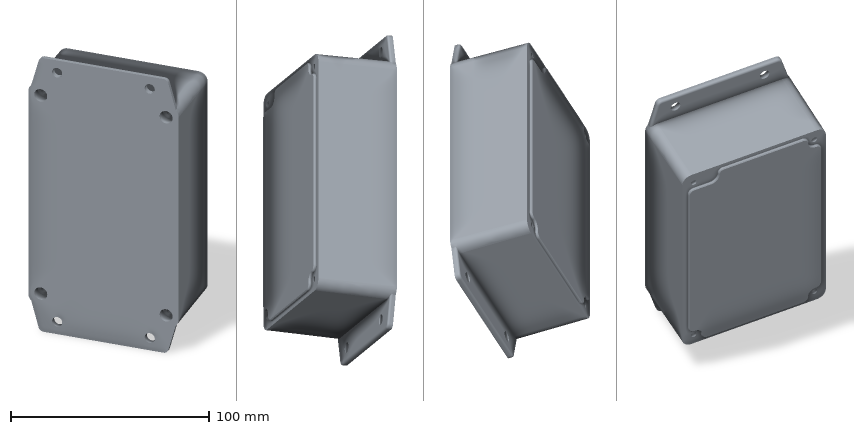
import cadquery as cq
import math

total_width = 81.3
total_depth = 43.5
total_length = 155.4
mounting_face_y = -total_depth / 2

body_length = 125.7
body_corner_radius = 5.5
draft_angle = 0.5

panel_width = 74.6
panel_length = 120.3
panel_height = 1.4
panel_edge_chamfer = 0.5
body_depth = total_depth - panel_height
body_back_y = mounting_face_y + body_depth

flange_thickness = 3.0
flange_end_width = 69.0
flange_end_radius = 2.8
flange_edge_fillet = 1.1

mount_hole_diameter = 5.5
mount_hole_x = 25.0
mount_hole_z = 70.7

screw_hole_diameter = 3.1
screw_head_diameter = 7.0
screw_head_depth = 5.0
screw_x = 33.9
screw_z = 56.2

notch_radius = 3.7
notch_edge_radius = 3.3
wide_notch_radius = 4.7
wide_notch_edge_radius = 2.8
wide_notch_wall_x = 20.5


def face_plane(y):
    """Sketch plane at the given Y, facing -Y, with sketch x along X and sketch y along Z."""
    return cq.Workplane("XZ", origin=(0, y, 0))


def four_corners(x, z):
    return [(side * x, end * z) for side in (-1, 1) for end in (-1, 1)]


def make_body():
    growth_plane = cq.Plane(origin=(0, mounting_face_y, 0), xDir=(1, 0, 0), normal=(0, 1, 0))
    outline = cq.Sketch().rect(total_width, body_length).vertices().fillet(body_corner_radius)
    return cq.Workplane(growth_plane).placeSketch(outline).extrude(body_depth, taper=draft_angle)


def make_flange():
    end_x = flange_end_width / 2
    end_z = total_length / 2
    arc_inset = body_corner_radius * (1 - math.sqrt(0.5))
    base_x = total_width / 2 - arc_inset
    base_z = body_length / 2 - arc_inset
    outline = [
        (end_x, end_z), (base_x, base_z), (base_x, -base_z), (end_x, -end_z),
        (-end_x, -end_z), (-base_x, -base_z), (-base_x, base_z), (-end_x, end_z),
    ]
    flange = face_plane(mounting_face_y).polyline(outline).close().extrude(-flange_thickness)
    for end in (">Z", "<Z"):
        flange = flange.faces(end).edges("|Y").fillet(flange_end_radius)
    return flange.faces(">Y").edges().fillet(flange_edge_fillet)


def make_notch_cutter(side, end, wall_x, wall_radius, edge_radius):
    """Corner cutter with its floor on the inner side of the screw hole and its wall at wall_x."""
    panel_x = panel_width / 2
    panel_z = panel_length / 2
    floor_z = screw_z - notch_radius

    def corner(x, z):
        return (side * x, end * z)

    def arc_middle(centre_x, centre_z, radius, x_sign, z_sign):
        reach = radius * math.sqrt(0.5)
        return corner(centre_x + x_sign * reach, centre_z + z_sign * reach)

    top_round_x = wall_x - edge_radius
    top_round_z = panel_z - edge_radius
    inner_x = wall_x + wall_radius
    inner_z = floor_z + wall_radius
    side_round_x = panel_x - notch_edge_radius
    side_round_z = floor_z - notch_edge_radius

    cutter = face_plane(body_back_y).moveTo(*corner(top_round_x, panel_z))
    cutter = cutter.threePointArc(
        arc_middle(top_round_x, top_round_z, edge_radius, 1, 1), corner(wall_x, top_round_z))
    cutter = cutter.lineTo(*corner(wall_x, inner_z))
    cutter = cutter.threePointArc(
        arc_middle(inner_x, inner_z, wall_radius, -1, -1), corner(inner_x, floor_z))
    cutter = cutter.lineTo(*corner(side_round_x, floor_z))
    cutter = cutter.threePointArc(
        arc_middle(side_round_x, side_round_z, notch_edge_radius, 1, 1), corner(panel_x, side_round_z))
    cutter = cutter.lineTo(*corner(panel_x, panel_z)).close()
    return cutter.extrude(-panel_height)


def make_panel():
    panel = face_plane(body_back_y).rect(panel_width, panel_length).extrude(-panel_height)
    screw_wall_x = screw_x - notch_radius
    for side, end in [(-1, -1), (-1, 1), (1, -1)]:
        panel = panel.cut(make_notch_cutter(side, end, screw_wall_x, notch_radius, notch_edge_radius))
    panel = panel.cut(
        make_notch_cutter(1, 1, wide_notch_wall_x, wide_notch_radius, wide_notch_edge_radius))
    return panel.faces(">Y").edges().chamfer(panel_edge_chamfer)


def make_holes(centres, diameter, depth):
    """Round cutters running from the mounting face toward the lid."""
    return face_plane(mounting_face_y).pushPoints(centres).circle(diameter / 2).extrude(-depth)


screw_centres = four_corners(screw_x, screw_z)
mount_centres = four_corners(mount_hole_x, mount_hole_z)

result = make_body().union(make_flange()).union(make_panel())
result = result.cut(make_holes(mount_centres, mount_hole_diameter, flange_thickness))
result = result.cut(make_holes(screw_centres, screw_hole_diameter, total_depth))
result = result.cut(make_holes(screw_centres, screw_head_diameter, screw_head_depth))